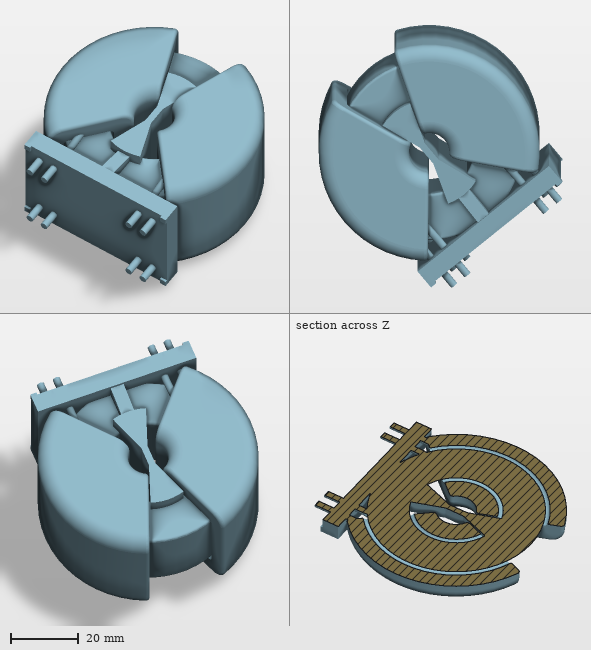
import cadquery as cq
import math


winding_outer_radius = 32.505
winding_inner_radius = 5.95
winding_height = 35.0
winding_round = 4.2
winding_end_round = 1.05
winding_top_angle = 20.7
winding_bottom_angle = 40.2
winding_sweep = 180 - winding_top_angle - winding_bottom_angle
winding_clearance = 0.8

core_outer_radius = 27.0
core_inner_radius = 13.1
core_height = 21.8
core_round = 0.8

divider_radius = 16.05
divider_height = 29.7
divider_waist_width = 2.0
divider_waist_length = 6.2
divider_tip_width = 10.4

board_length = 50.0
board_width = 32.0
board_thickness = 5.5
board_top = -25.1
board_bottom = board_top - board_thickness
foot_size = 2.0
foot_height = 0.7

strut_width = 4.1
strut_divider_level = 13.3
strut_board_level = 15.1

pin_diameter = 2.25
pin_length = 5.35
pin_bottom = board_bottom - pin_length
pin_level = 11.2
outer_pin_x = 20.0
outer_pin_top = -22.45
lead_x = 15.0
lead_bend_start = -23.4
lead_bend_radius = 6.6
lead_bend_angle = 10.0
lead_slope_length = 7.9


def make_ring(outer_radius, inner_radius, height, edge_round):
    """Ring about Z, centred on the origin, with all its circular edges rounded."""
    ring = cq.Workplane("XY").circle(outer_radius).circle(inner_radius).extrude(height / 2, both=True)
    return ring.edges("%CIRCLE").fillet(edge_round)


def make_winding():
    """Winding on the -X side: a rounded ring sector with an opening for the core."""
    mid_radius = (winding_outer_radius + winding_inner_radius) / 2
    profile = (
        cq.Sketch()
        .rect(winding_outer_radius - winding_inner_radius, winding_height)
        .vertices()
        .fillet(winding_round)
        .moved(cq.Location(cq.Vector(mid_radius, 0, 0)))
    )
    sector = cq.Workplane("XZ").placeSketch(profile).revolve(winding_sweep, (0, 0, 0), (0, 1, 0))
    sector = sector.faces("%PLANE").faces("not(#Z)").edges().fillet(winding_end_round)
    opening = make_ring(
        core_outer_radius + winding_clearance,
        core_inner_radius - winding_clearance,
        core_height + 2 * winding_clearance,
        core_round + winding_clearance,
    )
    return sector.rotate((0, 0, 0), (0, 0, 1), 90 + winding_top_angle).cut(opening)


def make_divider():
    """Bow-tie plate with arc ends, extruded along the ring axis."""
    waist_x = divider_waist_width / 2
    waist_y = divider_waist_length / 2
    tip_x = divider_tip_width / 2
    tip_y = math.sqrt(divider_radius**2 - tip_x**2)
    return (
        cq.Workplane("XY")
        .moveTo(waist_x, -waist_y)
        .lineTo(waist_x, waist_y)
        .lineTo(tip_x, tip_y)
        .threePointArc((0, divider_radius), (-tip_x, tip_y))
        .lineTo(-waist_x, waist_y)
        .lineTo(-waist_x, -waist_y)
        .lineTo(-tip_x, -tip_y)
        .threePointArc((0, -divider_radius), (tip_x, -tip_y))
        .close()
        .extrude(divider_height / 2, both=True)
    )


def make_strut():
    """Upper strut, rising from the divider to the board above the core face."""
    core_face = core_height / 2
    return (
        cq.Workplane("YZ")
        .moveTo(-divider_radius, core_face)
        .lineTo(-divider_radius, strut_divider_level)
        .lineTo(board_top, strut_board_level)
        .lineTo(board_top, core_face)
        .close()
        .extrude(strut_width / 2, both=True)
    )


def make_board():
    """Rectangular board with a square foot under each corner."""
    board_middle = board_top - board_thickness / 2
    board = cq.Workplane("XY").box(board_length, board_thickness, board_width)
    feet = (
        cq.Workplane("XZ", origin=(0, -board_thickness / 2, 0))
        .rect(board_length - foot_size, board_width - foot_size, forConstruction=True)
        .vertices()
        .rect(foot_size, foot_size)
        .extrude(foot_height)
    )
    return board.union(feet).translate((0, board_middle, 0))


def make_outer_pin():
    """Straight pin from below the board into the winding."""
    return (
        cq.Workplane("XZ", origin=(-outer_pin_x, pin_bottom, pin_level))
        .circle(pin_diameter / 2)
        .extrude(pin_bottom - outer_pin_top)
    )


def make_lead():
    """Pin that bends outward above the board and slopes over the core into the winding."""
    angle = math.radians(lead_bend_angle)

    def bend_point(turn):
        along = lead_bend_start + lead_bend_radius * math.sin(turn)
        level = pin_level + lead_bend_radius * (1 - math.cos(turn))
        return along, level

    bend_end = bend_point(angle)
    lead_end = (
        bend_end[0] + lead_slope_length * math.cos(angle),
        bend_end[1] + lead_slope_length * math.sin(angle),
    )
    path = (
        cq.Workplane("YZ", origin=(-lead_x, 0, 0))
        .moveTo(pin_bottom, pin_level)
        .lineTo(*bend_point(0))
        .threePointArc(bend_point(angle / 2), bend_end)
        .lineTo(*lead_end)
    )
    section = cq.Workplane("XZ", origin=(-lead_x, pin_bottom, pin_level)).circle(pin_diameter / 2)
    return section.sweep(path)


result = make_ring(core_outer_radius, core_inner_radius, core_height, core_round)
result = result.union(make_divider()).union(make_board())

strut = make_strut()
result = result.union(strut).union(strut.mirror("XY"))

winding = make_winding()
result = result.union(winding).union(winding.mirror("YZ"))

for pin in (make_outer_pin(), make_lead()):
    upper_pins = pin.union(pin.mirror("YZ"))
    result = result.union(upper_pins).union(upper_pins.mirror("XY"))